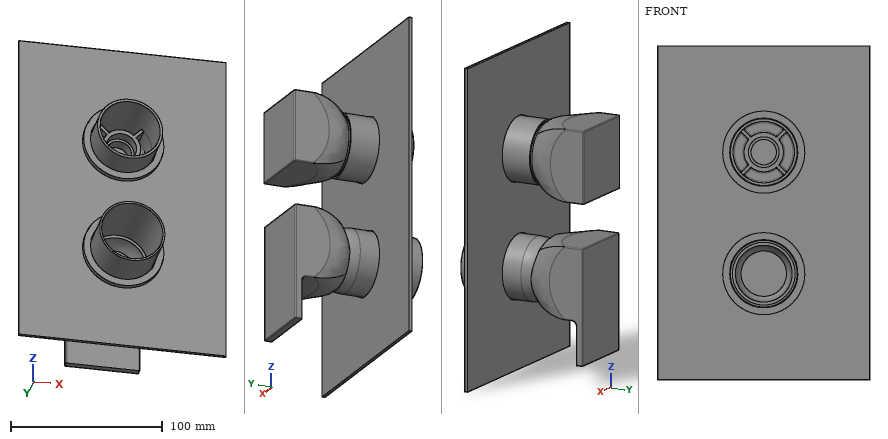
import cadquery as cq
import math


plate_width = 140.0
plate_height = 220.0
plate_thickness = 2.2
control_spacing = 80.0
collar_radius = 27.0
collar_length = 3.5
clearance_hole_radius = 22.5

sleeve_radius = 22.0

head_width = 50.0
head_edge_rounding = 0.7
neck_radius = 21.0
head_length = 41.1
flat_length_at_corner = 13.0
flat_length_at_middle = 25.0
shoulder_length = 32.1
shoulder_rounding = 2.0
corner_curve_bulge = 2.5

knob_back = 64.7
knob_sleeve_front = -22.9
knob_sleeve_back = 22.5
knob_bore_radius = 20.2
knob_bore_floor = 19.8
pocket_fillet = 0.9
hub_front = 3.3
hub_outer_radius = 13.0
hub_bore_radius = 10.1
hub_inner_radius = 8.4
hub_step = 11.0
spoke_width = 2.2
spoke_count = 4

lever_back = 64.0
lever_sleeve_front = -29.3
lever_bore_radius = 20.7
ball_center = 15.8
socket_radius = 18.7
socket_floor_radius = 15.0
paddle_drop = 30.1
paddle_thickness = 5.0
paddle_fillet = 3.0
head_tilt = 15.0

half_head = head_width / 2
knob_z = control_spacing / 2
lever_z = -control_spacing / 2


def cylinder(radius, start, end, z=0.0):
    """Cylinder along Y from start to end, centred at height z."""
    base = cq.Vector(0, start, z)
    return cq.Workplane(cq.Solid.makeCylinder(radius, end - start, base, cq.Vector(0, 1, 0)))


def box(x_range, y_range, z_range):
    """Box spanning the given (low, high) ranges."""
    spans = [high - low for low, high in (x_range, y_range, z_range)]
    corner = cq.Vector(x_range[0], y_range[0], z_range[0])
    return cq.Workplane(cq.Solid.makeBox(*spans, corner))


def make_plate():
    """Thin plate with a collar and a clearance hole for each control."""
    half_width = plate_width / 2
    half_height = plate_height / 2
    body = box((-half_width, half_width), (0, plate_thickness), (-half_height, half_height))
    for z in (knob_z, lever_z):
        body = body.union(cylinder(collar_radius, -collar_length, 0, z))
    for z in (knob_z, lever_z):
        body = body.cut(cylinder(clearance_hole_radius, -collar_length, plate_thickness, z))
    return body


def side_faces(back):
    """Flat face, blended face and neck arc on the +Z side of a head whose back is at Y = back."""
    neck = back - head_length
    corner_y = back - flat_length_at_corner
    middle_y = back - flat_length_at_middle
    shoulder_y = back - shoulder_length
    neck_corner = neck_radius * math.sqrt(0.5)
    bulge_y = (corner_y + neck) / 2
    bulge_x = (half_head + neck_corner) / 2 + corner_curve_bulge

    back_left = cq.Vector(-half_head, back, half_head)
    back_right = cq.Vector(half_head, back, half_head)
    flat_left = cq.Vector(-half_head, corner_y, half_head)
    flat_right = cq.Vector(half_head, corner_y, half_head)
    neck_left = cq.Vector(-neck_corner, neck, neck_corner)
    neck_right = cq.Vector(neck_corner, neck, neck_corner)

    flat_arc = cq.Edge.makeThreePointArc(flat_left, cq.Vector(0, middle_y, half_head), flat_right)
    neck_arc = cq.Edge.makeThreePointArc(neck_left, cq.Vector(0, neck, neck_radius), neck_right)
    left_curve = cq.Edge.makeThreePointArc(flat_left, cq.Vector(-bulge_x, bulge_y, bulge_x), neck_left)
    right_curve = cq.Edge.makeThreePointArc(flat_right, cq.Vector(bulge_x, bulge_y, bulge_x), neck_right)

    flat_outline = cq.Wire.assembleEdges([
        cq.Edge.makeLine(back_left, flat_left),
        flat_arc,
        cq.Edge.makeLine(flat_right, back_right),
        cq.Edge.makeLine(back_right, back_left),
    ])
    middle_points = [
        cq.Vector(0, (middle_y + shoulder_y) / 2, half_head),
        cq.Vector(0, shoulder_y, half_head),
        cq.Vector(0, (shoulder_y + neck) / 2, half_head - shoulder_rounding / 2),
    ]
    blend = cq.Face.makeNSidedSurface([flat_arc, right_curve, neck_arc, left_curve], middle_points)
    return cq.Face.makeFromWires(flat_outline), blend, neck_arc


def make_head(back):
    """Square head centred on the Y axis, closed by its back face and its round neck face."""
    neck = back - head_length
    origin = cq.Vector(0, 0, 0)
    y_axis = cq.Vector(0, 1, 0)
    back_face = cq.Face.makePlane(head_width, head_width, cq.Vector(0, back, 0), y_axis)
    faces = [back_face]
    neck_arcs = []
    for quarter in range(4):
        flat, blend, neck_arc = side_faces(back)
        turn = 90 * quarter
        faces.append(flat.rotate(origin, y_axis, turn))
        faces.append(blend.rotate(origin, y_axis, turn))
        neck_arcs.append(neck_arc.rotate(origin, y_axis, turn))
    faces.append(cq.Face.makeFromWires(cq.Wire.assembleEdges(neck_arcs)))
    return cq.Workplane(cq.Solid.makeSolid(cq.Shell.makeShell(faces)))


def make_knob_pockets():
    """Four pockets left around the hub by the spokes, with rounded floor edges."""
    pockets = cylinder(knob_bore_radius, hub_front, knob_bore_floor)
    pockets = pockets.cut(cylinder(hub_outer_radius, hub_front, knob_bore_floor))
    half_spoke = spoke_width / 2
    spoke = box((0, sleeve_radius), (hub_front, knob_bore_floor), (-half_spoke, half_spoke))
    for index in range(spoke_count):
        angle = 360 / spoke_count * (index + 0.5)
        pockets = pockets.cut(spoke.rotate((0, 0, 0), (0, 1, 0), angle))
    return pockets.faces(">Y").edges().fillet(pocket_fillet)


def make_knob():
    """Square knob on a sleeve; deep in the bore, spokes carry a hub ring."""
    neck = knob_back - head_length
    body = make_head(knob_back)
    body = body.edges("|Y or >Y").fillet(head_edge_rounding)
    body = body.union(cylinder(neck_radius, knob_sleeve_back, neck))
    body = body.union(cylinder(sleeve_radius, knob_sleeve_front, knob_sleeve_back))
    body = body.cut(cylinder(knob_bore_radius, knob_sleeve_front, hub_front))
    body = body.cut(make_knob_pockets())
    body = body.cut(cylinder(hub_bore_radius, hub_front, hub_step))
    body = body.cut(cylinder(hub_inner_radius, hub_step, knob_bore_floor))
    return body.translate((0, 0, knob_z))


def head_relief(neck):
    """Wedge above the axis that leans the upper half of a neck face back by head_tilt."""
    reach = 2 * half_head
    rise = reach * math.tan(math.radians(head_tilt))
    return (
        cq.Workplane("YZ", origin=(-half_head, 0, 0))
        .moveTo(neck, 0)
        .lineTo(neck + rise, reach)
        .lineTo(neck - rise, reach)
        .lineTo(neck - rise, 0)
        .close()
        .extrude(head_width)
    )


def make_ball_sleeve():
    """Solid sleeve whose inner end is a ball."""
    arc_middle = sleeve_radius * math.sqrt(0.5)
    return (
        cq.Workplane("XY")
        .moveTo(0, lever_sleeve_front)
        .lineTo(sleeve_radius, lever_sleeve_front)
        .lineTo(sleeve_radius, ball_center)
        .threePointArc((arc_middle, ball_center + arc_middle), (0, ball_center + sleeve_radius))
        .close()
        .revolve(360, (0, 0), (0, 1))
    )


def make_socket():
    """Hollow of the ball sleeve: a bore, a ledge, then a spherical seat with a flat floor."""
    floor_angle = math.acos(socket_floor_radius / socket_radius)
    floor = ball_center + socket_radius * math.sin(floor_angle)
    arc_middle_x = socket_radius * math.cos(floor_angle / 2)
    arc_middle_y = ball_center + socket_radius * math.sin(floor_angle / 2)
    return (
        cq.Workplane("XY")
        .moveTo(0, lever_sleeve_front)
        .lineTo(lever_bore_radius, lever_sleeve_front)
        .lineTo(lever_bore_radius, ball_center)
        .lineTo(socket_radius, ball_center)
        .threePointArc((arc_middle_x, arc_middle_y), (socket_floor_radius, floor))
        .lineTo(0, floor)
        .close()
        .revolve(360, (0, 0), (0, 1))
    )


def make_lever():
    """Square head with a downward paddle, leaning back over a ball-ended sleeve."""
    neck = lever_back - head_length
    paddle_front = lever_back - paddle_thickness
    paddle_end = -half_head - paddle_drop
    paddle = box((-half_head, half_head), (paddle_front, lever_back), (paddle_end, 0))
    head = make_head(lever_back).cut(head_relief(neck))
    head = head.union(paddle).clean()
    inner_corner = cq.selectors.NearestToPointSelector((0, paddle_front, -half_head))
    head = head.edges(inner_corner).fillet(paddle_fillet)
    head = head.edges("|Y or >Y").fillet(head_edge_rounding)
    body = head.union(make_ball_sleeve()).cut(make_socket())
    return body.translate((0, 0, lever_z))


plate = make_plate()
knob = make_knob()
lever = make_lever()

result = cq.Compound.makeCompound([plate.val(), knob.val(), lever.val()])